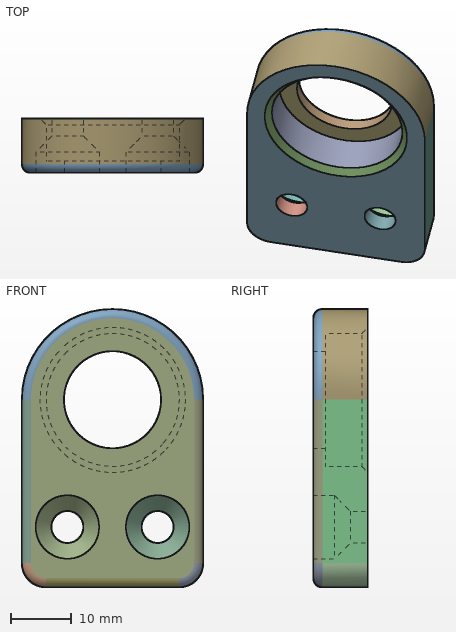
import cadquery as cq

width = 30.0
height = 46.0
thickness = 9.0
top_radius = width / 2
corner_radius = 4.0
edge_radius = 1.5

lip_diameter = 16.0
lip_depth = 2.0
rear_bore_diameter = 22.0
rear_chamfer = 1.0

shank_diameter = 5.25
head_diameter = 10.5
head_depth = 3.5
cone_depth = (head_diameter - shank_diameter) / 2
screw_spacing = 14.9
screw_height = 10.0

top_center_z = height - top_radius


def make_plate():
    """Round-topped plate with rounded lower corners and front rim."""
    outline = (
        cq.Workplane("XZ")
        .moveTo(-width / 2, 0)
        .lineTo(width / 2, 0)
        .lineTo(width / 2, top_center_z)
        .threePointArc((0, height), (-width / 2, top_center_z))
        .close()
    )
    plate = outline.extrude(-thickness)
    plate = plate.edges("|Y and <Z").fillet(corner_radius)
    return plate.faces("<Y").edges().fillet(edge_radius)


def stepped_hole():
    """Cutter for the large hole, its rear bore and the chamfer at the back face."""
    center = cq.Workplane("XZ").center(0, top_center_z)
    lip = center.circle(lip_diameter / 2).extrude(-thickness)
    rear_bore = (
        center.workplane(offset=-lip_depth)
        .circle(rear_bore_diameter / 2)
        .extrude(lip_depth - thickness)
    )
    mouth_radius = rear_bore_diameter / 2 + rear_chamfer
    mouth = (
        center.workplane(offset=-thickness)
        .circle(mouth_radius)
        .workplane(offset=rear_chamfer)
        .circle(rear_bore_diameter / 2)
        .loft(ruled=True)
    )
    return lip.union(rear_bore).union(mouth)


def screw_hole(x):
    """Cutter for one screw hole, revolved about its axis along Y."""
    head_radius = head_diameter / 2
    shank_radius = shank_diameter / 2
    profile = cq.Workplane("XY").polyline([
        (0, 0),
        (head_radius, 0),
        (head_radius, head_depth),
        (shank_radius, head_depth + cone_depth),
        (shank_radius, thickness),
        (0, thickness),
    ]).close()
    cutter = profile.revolve(360, (0, 0, 0), (0, 1, 0))
    return cutter.translate((x, 0, screw_height))


result = make_plate().cut(stepped_hole())
for side in (-1, 1):
    result = result.cut(screw_hole(side * screw_spacing / 2))